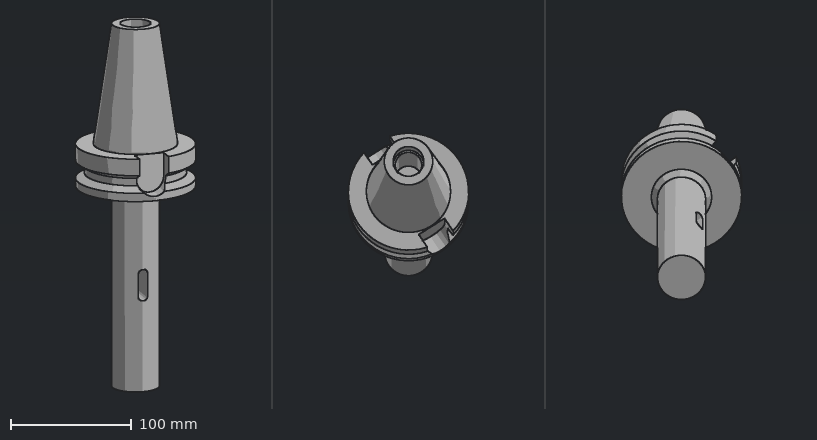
import cadquery as cq
import math


gauge_diameter = 69.85
taper_length = 101.8
taper_ratio = 7 / 24

flange_diameter = 100.0
flange_top_z = -1.5
flange_bottom_z = -38.0

groove_floor_diameter = 85.0
groove_floor_width = 6.4
groove_center_z = -23.3
groove_flank_angle = 30.0

shank_diameter = 40.0
shank_bottom_z = -210.0
neck_diameter = 50.0
neck_length = 5.0

keyway_width = 25.4
keyway_floor_x = 35.4
keyway_end_z = -34.2

shank_slot_width = 8.3
shank_slot_length = 27.0
shank_slot_top_z = -104.8

counterbore_diameter = 25.4
counterbore_depth = 13.0
bore_diameter = 22.0
bore_depth = 60.0


def make_body():
    """Revolve the half outline of the taper, flange and shank."""
    gauge_radius = gauge_diameter / 2
    tip_radius = (gauge_diameter - taper_length * taper_ratio) / 2
    flange_radius = flange_diameter / 2
    groove_radius = groove_floor_diameter / 2
    flank_height = (flange_radius - groove_radius) * math.tan(math.radians(groove_flank_angle))
    floor_top_z = groove_center_z + groove_floor_width / 2
    floor_bottom_z = groove_center_z - groove_floor_width / 2
    shank_radius = shank_diameter / 2

    outline = [
        (0, taper_length),
        (tip_radius, taper_length),
        (gauge_radius, 0),
        (gauge_radius, flange_top_z),
        (flange_radius, flange_top_z),
        (flange_radius, floor_top_z + flank_height),
        (groove_radius, floor_top_z),
        (groove_radius, floor_bottom_z),
        (flange_radius, floor_bottom_z - flank_height),
        (flange_radius, flange_bottom_z),
        (neck_diameter / 2, flange_bottom_z),
        (shank_radius, flange_bottom_z - neck_length),
        (shank_radius, shank_bottom_z),
        (0, shank_bottom_z),
    ]
    return cq.Workplane("XZ").polyline(outline).close().revolve(360, (0, 0, 0), (0, 1, 0))


def make_keyway():
    """Cutter for the +X keyway: open at the flange top, with a full round lower end."""
    half_width = keyway_width / 2
    arc_start_z = keyway_end_z + half_width
    return (
        cq.Workplane("YZ", origin=(keyway_floor_x, 0, 0))
        .moveTo(-half_width, flange_top_z)
        .lineTo(-half_width, arc_start_z)
        .threePointArc((0, keyway_end_z), (half_width, arc_start_z))
        .lineTo(half_width, flange_top_z)
        .close()
        .extrude(flange_diameter / 2 - keyway_floor_x)
    )


def make_shank_slot():
    """Cutter for the round-ended slot, upright and passing through the shank along X."""
    return (
        cq.Workplane("YZ")
        .center(0, shank_slot_top_z - shank_slot_length / 2)
        .slot2D(shank_slot_length, shank_slot_width, 90)
        .extrude(shank_diameter, both=True)
    )


def make_bore():
    """Cutter for the stepped blind bore, measured down from the small end of the taper."""
    mouth = cq.Workplane("XY", origin=(0, 0, taper_length))
    counterbore = mouth.circle(counterbore_diameter / 2).extrude(-counterbore_depth)
    bore = mouth.circle(bore_diameter / 2).extrude(-bore_depth)
    return counterbore.union(bore)


result = make_body()
for turn in (0, 180):
    result = result.cut(make_keyway().rotate((0, 0, 0), (0, 0, 1), turn))
result = result.cut(make_shank_slot())
result = result.cut(make_bore())